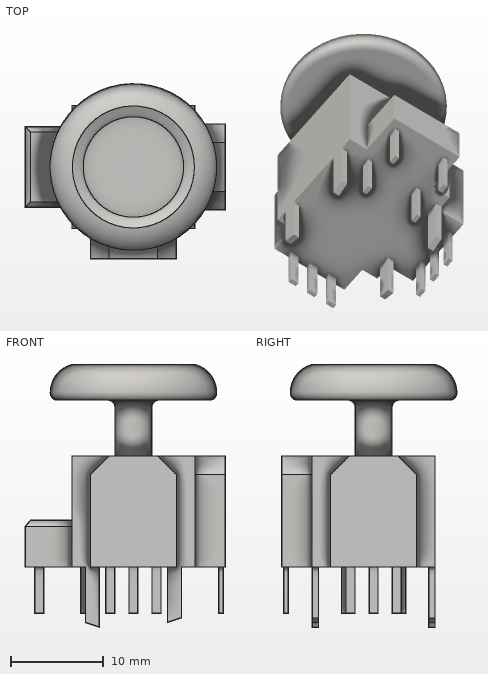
import cadquery as cq


body_side = 13.3
body_height = 12.02
half_body = body_side / 2

socket_diameter = 11.6
socket_depth = 2.02
socket_chamfer = 0.65

sensor_width = 9.3
sensor_depth = 3.3
sensor_chamfer = 2.02

switch_length = 5.05
switch_width = 8.72
switch_height = 5.09
switch_chamfer_drop = 0.7
switch_chamfer_inset = 0.6

pin_width = 1.0
pin_thickness = 0.5
pin_length = 5.0
pin_pitch = 2.5
sensor_pin_offset = 9.45
switch_pin_near_x = -5.2
switch_pin_far_x = -10.17
switch_pin_y = 3.25

leg_width = 1.53
leg_thickness = 0.7
leg_offset_x = 4.43
left_leg_outer_length = 6.0
left_leg_inner_length = 6.5
right_leg_inner_length = 6.0
right_leg_outer_length = 5.48

total_height = 28.4
knob_top = total_height - left_leg_inner_length
knob_height = 3.85
knob_radius = 9.0
knob_lower_round = 0.8
rim_radius = 6.6
stem_radius = 4.0 / 2
stem_fillet = 0.77

dish_radius = 5.43
dish_depth = 0.82
dish_floor_radius = 5.3
dish_edge_drop = 0.03


def box_from_bottom(length, width, height, x, y, bottom):
    """Box centred on (x, y) with its underside at the given height."""
    return (
        cq.Workplane("XY", origin=(x, y, bottom))
        .box(length, width, height, centered=(True, True, False))
    )


def make_sensor():
    """Block on the -Y side with both upper corners cut off."""
    half_width = sensor_width / 2
    return (
        cq.Workplane("XZ", origin=(0, -half_body, 0))
        .moveTo(-half_width, 0)
        .lineTo(half_width, 0)
        .lineTo(half_width, body_height - sensor_chamfer)
        .lineTo(half_width - sensor_chamfer, body_height)
        .lineTo(-half_width + sensor_chamfer, body_height)
        .lineTo(-half_width, body_height - sensor_chamfer)
        .close()
        .extrude(sensor_depth)
    )


def make_sensor_pins():
    """Row of three pins under the -Y sensor."""
    pins = cq.Workplane("XY")
    for step in (-1, 0, 1):
        pins = pins.add(
            box_from_bottom(
                pin_width, pin_thickness, pin_length,
                step * pin_pitch, -sensor_pin_offset, -pin_length,
            )
        )
    return pins.combine()


def make_switch():
    """Low box on the -X side, bevelled along its three free top edges."""
    block = box_from_bottom(
        switch_length, switch_width, switch_height,
        -half_body - switch_length / 2, 0, 0,
    )
    return (
        block.faces(">Z").edges("<X or <Y or >Y")
        .chamfer(switch_chamfer_drop, switch_chamfer_inset)
    )


def make_leg(x_center, left_length, right_length, y_front):
    """Flat leg whose tip slants between its left and right edge lengths."""
    left = x_center - leg_width / 2
    right = x_center + leg_width / 2
    return (
        cq.Workplane("XZ", origin=(0, y_front + leg_thickness, 0))
        .polyline([(left, 0), (right, 0), (right, -right_length), (left, -left_length)])
        .close()
        .extrude(leg_thickness)
    )


def make_socket():
    """Round recess with a 45 degree mouth, revolved about the stem axis."""
    radius = socket_diameter / 2
    floor = body_height - socket_depth
    return (
        cq.Workplane("XZ")
        .moveTo(0, floor)
        .lineTo(radius, floor)
        .lineTo(radius, body_height - socket_chamfer)
        .lineTo(radius + socket_chamfer, body_height)
        .lineTo(0, body_height)
        .close()
        .revolve(360, (0, 0, 0), (0, 1, 0))
    )


def make_knob_and_stem():
    """Mushroom knob, stem fillet and stem as one revolved profile."""
    floor = body_height - socket_depth
    knob_bottom = knob_top - knob_height
    widest = knob_bottom + knob_lower_round
    rise = knob_top - widest
    inset = knob_radius - rim_radius
    upper_round = (rise ** 2 + inset ** 2) / (2 * inset)
    cone_end = knob_top - dish_depth
    dish_floor = cone_end - dish_edge_drop
    return (
        cq.Workplane("XZ")
        .moveTo(0, floor)
        .lineTo(stem_radius, floor)
        .lineTo(stem_radius, knob_bottom - stem_fillet)
        .radiusArc((stem_radius + stem_fillet, knob_bottom), stem_fillet)
        .lineTo(knob_radius - knob_lower_round, knob_bottom)
        .radiusArc((knob_radius, widest), -knob_lower_round)
        .radiusArc((rim_radius, knob_top), -upper_round)
        .lineTo(dish_radius, cone_end)
        .lineTo(dish_floor_radius, dish_floor)
        .lineTo(0, dish_floor)
        .close()
        .revolve(360, (0, 0, 0), (0, 1, 0))
    )


result = box_from_bottom(body_side, body_side, body_height, 0, 0, 0)
for turn in (0, 90):
    for unit in (make_sensor(), make_sensor_pins()):
        result = result.union(unit.rotate((0, 0, 0), (0, 0, 1), turn))
result = result.union(make_switch())

for x in (switch_pin_far_x, switch_pin_near_x):
    for y in (-switch_pin_y, switch_pin_y):
        result = result.union(box_from_bottom(pin_width, pin_thickness, pin_length, x, y, -pin_length))

for y_front in (-half_body, half_body - leg_thickness):
    result = result.union(make_leg(-leg_offset_x, left_leg_outer_length, left_leg_inner_length, y_front))
    result = result.union(make_leg(leg_offset_x, right_leg_inner_length, right_leg_outer_length, y_front))

result = result.cut(make_socket()).union(make_knob_and_stem())